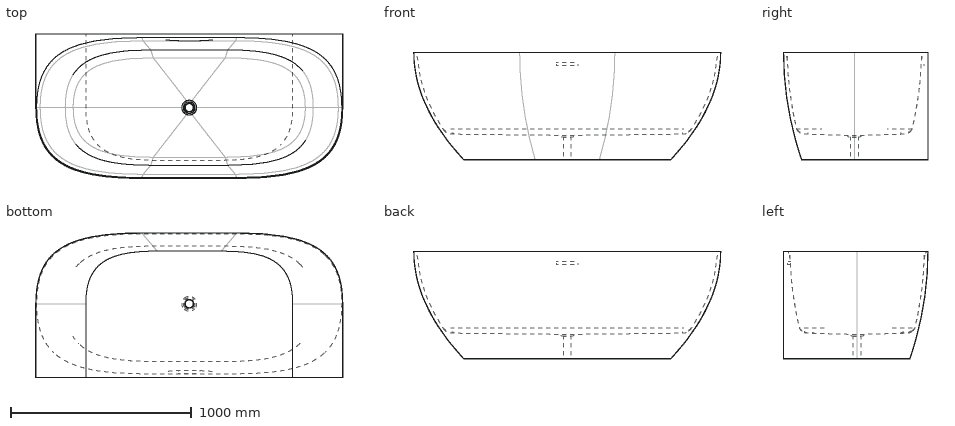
import cadquery as cq

LENGTH = 1700.0
HEIGHT = 595.0
FRONT_DEPTH = 393.0
BACK_DEPTH = 408.0

STRAIGHT_SHARE = 0.31
END_PULL = 0.76
SIDE_PULL = 0.7

END_DRAW_IN = 277.0
FRONT_DRAW_IN = 100.0
WALL_SECTIONS = 6

RIM_WIDTH = 5.0
WALL = 22.0
LIP_HEIGHT = 56.0
LIP_SECTIONS = 4
COVE_TOP = 170.0
FLOOR_EDGE = 143.0
COVE_MID_OUT = 0.6
COVE_MID_UP = 0.3
FLOOR_HALF_LENGTH = 643.0
FLOOR_HALF_WIDTH = 275.0

DRAIN_LEVEL = 136.0
SEAT_RADIUS = 40.0
SEAT_BEVEL = 8.0
FALL_END = SEAT_RADIUS - SEAT_BEVEL
DRAIN_RADIUS = 22.0
HOLE_BEVEL = 3.0

OVERFLOW_LENGTH = 120.0
OVERFLOW_HEIGHT = 15.0
OVERFLOW_DEPTH = 17.0


def heights(bottom, top, count):
    """Evenly spaced heights from bottom to top, both included."""
    return [bottom + (top - bottom) * i / (count - 1) for i in range(count)]


def wall_size(z, inset=0.0):
    """Half length and half width of the outer wall at height z, less an inset."""
    draw_share = (1 - z / HEIGHT) ** 2
    half_length = LENGTH / 2 - END_DRAW_IN * draw_share
    half_width = FRONT_DEPTH - FRONT_DRAW_IN * draw_share
    return half_length - inset, half_width - inset


def front_edges(half_length, half_width, z):
    """Front half of an outline, from the left end round to the right end."""
    straight = STRAIGHT_SHARE * half_length
    side_handle = straight + SIDE_PULL * (half_length - straight)
    corner = [
        (half_length, 0),
        (half_length, -END_PULL * half_width),
        (side_handle, -half_width),
        (straight, -half_width),
    ]
    left = [cq.Vector(-x, y, z) for x, y in corner]
    right = [cq.Vector(x, y, z) for x, y in reversed(corner)]
    return [
        cq.Edge.makeBezier(left),
        cq.Edge.makeLine(left[-1], right[0]),
        cq.Edge.makeBezier(right),
    ]


def shell_outline(z):
    """Outer section: curved front, square back against the wall."""
    half_length, half_width = wall_size(z)
    back = [
        cq.Vector(half_length, 0, z),
        cq.Vector(half_length, BACK_DEPTH, z),
        cq.Vector(-half_length, BACK_DEPTH, z),
        cq.Vector(-half_length, 0, z),
    ]
    back_edges = [cq.Edge.makeLine(a, b) for a, b in zip(back, back[1:])]
    return cq.Wire.assembleEdges(front_edges(half_length, half_width, z) + back_edges)


def basin_outline(half_length, half_width, z):
    """Basin section: the front half outline repeated by a half turn."""
    front = front_edges(half_length, half_width, z)
    back = [edge.rotate(cq.Vector(0, 0, 0), cq.Vector(0, 0, 1), 180) for edge in front]
    return cq.Wire.assembleEdges(front + back)


def make_shell():
    return cq.Solid.makeLoft([shell_outline(z) for z in heights(0, HEIGHT, WALL_SECTIONS)])


def lip_outline(rise):
    """Lip section at a share of the lip height; the lip rounds over as a quarter ellipse."""
    z = HEIGHT - LIP_HEIGHT * (1 - rise)
    rounding = (WALL - RIM_WIDTH) * (1 - (1 - rise**2) ** 0.5)
    return basin_outline(*wall_size(z, WALL - rounding), z)


def make_lip():
    return cq.Solid.makeLoft([lip_outline(i / (LIP_SECTIONS - 1)) for i in range(LIP_SECTIONS)])


def make_basin_wall():
    levels = heights(COVE_TOP, HEIGHT - LIP_HEIGHT, WALL_SECTIONS)
    return cq.Solid.makeLoft([basin_outline(*wall_size(z, WALL), z) for z in levels])


def make_cove():
    """Concave blend between the basin wall and the floor edge."""
    top_length, top_width = wall_size(COVE_TOP, WALL)
    middle = (
        FLOOR_HALF_LENGTH + COVE_MID_OUT * (top_length - FLOOR_HALF_LENGTH),
        FLOOR_HALF_WIDTH + COVE_MID_OUT * (top_width - FLOOR_HALF_WIDTH),
        FLOOR_EDGE + COVE_MID_UP * (COVE_TOP - FLOOR_EDGE),
    )
    floor_edge = basin_outline(FLOOR_HALF_LENGTH, FLOOR_HALF_WIDTH, FLOOR_EDGE)
    return cq.Solid.makeLoft(
        [floor_edge, basin_outline(*middle), basin_outline(top_length, top_width, COVE_TOP)]
    )


def make_floor_fall():
    """Shallow fall of the floor from its edge to the drain."""
    low = basin_outline(FALL_END, FALL_END, DRAIN_LEVEL)
    edge = basin_outline(FLOOR_HALF_LENGTH, FLOOR_HALF_WIDTH, FLOOR_EDGE)
    return cq.Solid.makeLoft([low, edge], True)


def make_drain():
    """Cutter for the seat, its bevel and the through hole."""
    seat_bottom = DRAIN_LEVEL - SEAT_BEVEL
    profile = [
        (0, 0),
        (DRAIN_RADIUS, 0),
        (DRAIN_RADIUS, seat_bottom - HOLE_BEVEL),
        (DRAIN_RADIUS + HOLE_BEVEL, seat_bottom),
        (SEAT_RADIUS - SEAT_BEVEL, seat_bottom),
        (SEAT_RADIUS, DRAIN_LEVEL),
        (SEAT_RADIUS, FLOOR_EDGE),
        (0, FLOOR_EDGE),
    ]
    return cq.Workplane("XZ").polyline(profile).close().revolve(360, (0, 0, 0), (0, 1, 0))


def make_overflow():
    """Cutter for the overflow slot, reaching OVERFLOW_DEPTH into the back wall."""
    slot_top = HEIGHT - LIP_HEIGHT
    wall_face = wall_size(slot_top, WALL)[1]
    return (
        cq.Workplane("XY")
        .box(OVERFLOW_LENGTH, 2 * OVERFLOW_DEPTH, OVERFLOW_HEIGHT)
        .translate((0, wall_face, slot_top - OVERFLOW_HEIGHT / 2))
    )


result = cq.Workplane(make_shell())
for basin_part in (make_lip(), make_basin_wall(), make_cove(), make_floor_fall()):
    result = result.cut(cq.Workplane(basin_part))
result = result.cut(make_drain()).cut(make_overflow())